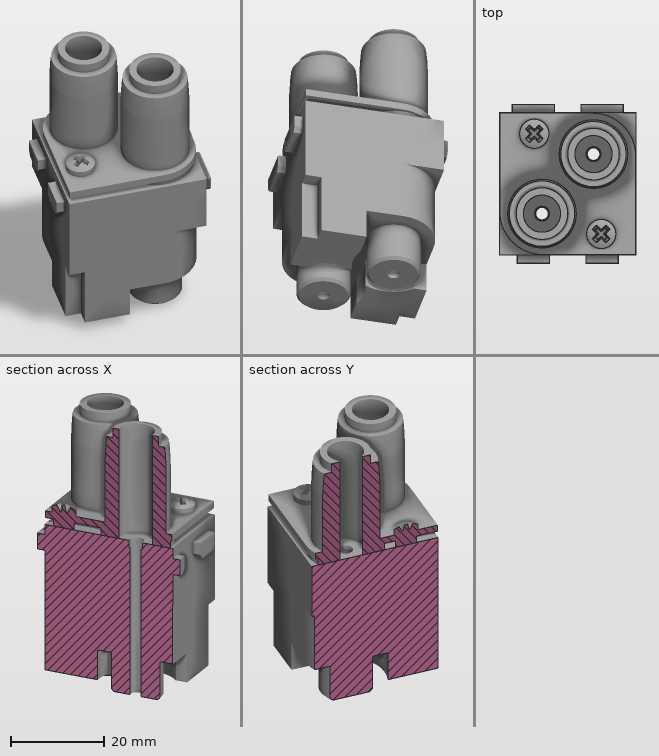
import cadquery as cq
import math

BLOCK_BOTTOM = 2.0
NOTCH_TOP = 8.95
STEP_TOP = 16.1
ROUNDED_TOP = 22.85
TAB_BOTTOM = 29.8
TAB_TOP = 33.6
BLOCK_TOP = 35.9
PLATE_BOTTOM = 37.45
PLATE_TOP = 39.1
SCREW_RIM = 40.45
SCREW_CROWN = 41.45
TAPER_START = 53.5
SLEEVE_TOP = 59.1
TUBE_TOP = 61.3

BLOCK_X = 29.3
BLOCK_Y = 30.5
OVERALL_Y = 34.1
CORNER_RADIUS = 9.15
STEP_X = 3.2
STEP_Y = 3.45
NOTCH_PAST_STUB_X = 6.55
NOTCH_PAST_STUB_Y = 8.2
CLEARANCE_RADIUS = 9.0

TAB_X = 7.35
FRONT_TAB_WIDTH = 7.0
REAR_TAB_WIDTH = 9.1
TAB_CHAMFER_X = 1.0
TAB_CHAMFER_Z = 1.15

CONTACT_X = 5.5
CONTACT_Y = 6.4
STUB_RADIUS = 5.8
STUB_CHAMFER = 0.6
FLANGE_RADIUS = 8.35
SLEEVE_RADIUS = 7.35
TAPER_INSET = 0.35
TUBE_RADIUS = 5.5
BORE_RADIUS = 4.0
HOLE_RADIUS = 1.35
COUNTERBORE_RADIUS = 1.6
COUNTERBORE_DEPTH = 1.6

PLATE_INSET = 0.1
SCREW_X = 7.2
SCREW_Y = 10.7
HEAD_RADIUS = 3.1
BOSS_RADIUS = 2.75
RECESS_TOP_WIDTH = 1.35
RECESS_FLOOR_WIDTH = 0.75
RECESS_TOP_LENGTH = 4.4
RECESS_FLOOR_LENGTH = 2.8
RECESS_FLOOR = 39.55

CONTACTS = [(-CONTACT_X, -CONTACT_Y), (CONTACT_X, CONTACT_Y)]
SCREWS = [(-SCREW_X, SCREW_Y), (SCREW_X, -SCREW_Y)]


def box_between(x_range, y_range, z_range):
    """Box spanning the given (low, high) range on each axis."""
    size = [high - low for low, high in (x_range, y_range, z_range)]
    corner = (x_range[0], y_range[0], z_range[0])
    return cq.Workplane("XY").box(*size, centered=False).translate(corner)


def cylinder(center, radius, bottom, top):
    """Vertical cylinder at an (x, y) center."""
    return cq.Workplane("XY", origin=(*center, bottom)).circle(radius).extrude(top - bottom)


def half_turn(shape):
    """Copy of a shape turned half a turn about the Z axis."""
    return shape.rotate((0, 0, 0), (0, 0, 1), 180)


def block_body():
    """Block with a rounded corner below the shoulder at -X-Y and at +X+Y."""
    x_range = (-BLOCK_X / 2, BLOCK_X / 2)
    y_range = (-BLOCK_Y / 2, BLOCK_Y / 2)
    upper = box_between(x_range, y_range, (ROUNDED_TOP, BLOCK_TOP))
    lower = box_between(x_range, y_range, (BLOCK_BOTTOM, ROUNDED_TOP))
    return upper.union(round_contact_corners(lower))


def round_contact_corners(shape):
    """Round the two vertical edges next to the contacts."""
    for corner in ((-1, -1, 0), (1, 1, 0)):
        outermost = cq.selectors.DirectionMinMaxSelector(cq.Vector(*corner), True)
        shape = shape.edges("|Z").edges(outermost).fillet(CORNER_RADIUS)
    return shape


def stub_notch():
    """Opening around the -X-Y stub: an open corner plus a round clearance."""
    corner = box_between(
        (-BLOCK_X / 2, NOTCH_PAST_STUB_X - CONTACT_X),
        (-BLOCK_Y / 2, NOTCH_PAST_STUB_Y - CONTACT_Y),
        (BLOCK_BOTTOM, NOTCH_TOP),
    )
    return corner.union(cylinder(CONTACTS[0], CLEARANCE_RADIUS, BLOCK_BOTTOM, NOTCH_TOP))


def corner_step():
    """Rectangular step at the lower +X-Y corner."""
    return box_between(
        (BLOCK_X / 2 - STEP_X, BLOCK_X / 2),
        (-BLOCK_Y / 2, -BLOCK_Y / 2 + STEP_Y),
        (BLOCK_BOTTOM, STEP_TOP),
    )


def tab(center_x, width, side):
    """Tab with chamfered lower corners; side is -1 for the -Y face and 1 for the +Y face."""
    half = width / 2
    outline = [
        (center_x - half, TAB_TOP),
        (center_x + half, TAB_TOP),
        (center_x + half, TAB_BOTTOM + TAB_CHAMFER_Z),
        (center_x + half - TAB_CHAMFER_X, TAB_BOTTOM),
        (center_x - half + TAB_CHAMFER_X, TAB_BOTTOM),
        (center_x - half, TAB_BOTTOM + TAB_CHAMFER_Z),
    ]
    return cq.Workplane("XZ").polyline(outline).close().extrude(-side * OVERALL_Y / 2)


def stub(center):
    """Contact stub with a chamfered lower end."""
    return cylinder(center, STUB_RADIUS, 0, NOTCH_TOP).faces("<Z").chamfer(STUB_CHAMFER)


def make_housing():
    """Lower block with tabs, notched legs and the two contact stubs."""
    housing = block_body()
    for cutter in (stub_notch(), corner_step()):
        housing = housing.cut(cutter).cut(half_turn(cutter))
    for center_x in (-TAB_X, TAB_X):
        housing = housing.union(tab(center_x, FRONT_TAB_WIDTH, -1))
        housing = housing.union(tab(center_x, REAR_TAB_WIDTH, 1))
    for center in CONTACTS:
        housing = housing.union(stub(center))
    for center in CONTACTS:
        housing = housing.cut(cylinder(center, HOLE_RADIUS, 0, BLOCK_TOP))
        counterbore_bottom = BLOCK_TOP - COUNTERBORE_DEPTH
        housing = housing.cut(cylinder(center, COUNTERBORE_RADIUS, counterbore_bottom, BLOCK_TOP))
    return housing


def plate():
    """Plate, slightly smaller than the block."""
    half_x = BLOCK_X / 2 - PLATE_INSET
    half_y = BLOCK_Y / 2 - PLATE_INSET
    return round_contact_corners(
        box_between((-half_x, half_x), (-half_y, half_y), (PLATE_BOTTOM, PLATE_TOP))
    )


def sleeve(center):
    """Turned sleeve: flange, barrel, curved taper and the tube end."""
    taper_middle = (SLEEVE_RADIUS - TAPER_INSET / 4, (TAPER_START + SLEEVE_TOP) / 2)
    profile = (
        cq.Workplane("XZ")
        .moveTo(0, BLOCK_TOP)
        .lineTo(FLANGE_RADIUS, BLOCK_TOP)
        .lineTo(FLANGE_RADIUS, PLATE_BOTTOM)
        .lineTo(SLEEVE_RADIUS, PLATE_BOTTOM)
        .lineTo(SLEEVE_RADIUS, TAPER_START)
        .threePointArc(taper_middle, (SLEEVE_RADIUS - TAPER_INSET, SLEEVE_TOP))
        .lineTo(TUBE_RADIUS, SLEEVE_TOP)
        .lineTo(TUBE_RADIUS, TUBE_TOP)
        .lineTo(0, TUBE_TOP)
        .close()
    )
    return profile.revolve(360, (0, 0, 0), (0, 1, 0)).translate((*center, 0))


def cross_recess():
    """Cross-shaped driver recess with sloped walls, on the Z axis."""
    arm = (
        cq.Workplane("XY", origin=(0, 0, RECESS_FLOOR))
        .rect(RECESS_FLOOR_LENGTH, RECESS_FLOOR_WIDTH)
        .workplane(offset=SCREW_CROWN - RECESS_FLOOR)
        .rect(RECESS_TOP_LENGTH, RECESS_TOP_WIDTH)
        .loft(ruled=True)
    )
    first_arm = arm.rotate((0, 0, 0), (0, 0, 1), 45)
    return first_arm.union(arm.rotate((0, 0, 0), (0, 0, 1), -45))


def screw(center):
    """Boss below the plate and a domed screw head above it."""
    dome_height = SCREW_CROWN - SCREW_RIM
    dome_radius = (HEAD_RADIUS**2 + dome_height**2) / (2 * dome_height)
    half_angle = math.asin(HEAD_RADIUS / dome_radius) / 2
    arc_middle = (
        dome_radius * math.sin(half_angle),
        SCREW_CROWN - dome_radius * (1 - math.cos(half_angle)),
    )
    profile = (
        cq.Workplane("XZ")
        .moveTo(0, BLOCK_TOP)
        .lineTo(BOSS_RADIUS, BLOCK_TOP)
        .lineTo(BOSS_RADIUS, PLATE_TOP)
        .lineTo(HEAD_RADIUS, PLATE_TOP)
        .lineTo(HEAD_RADIUS, SCREW_RIM)
        .threePointArc(arc_middle, (0, SCREW_CROWN))
        .close()
    )
    turned = profile.revolve(360, (0, 0, 0), (0, 1, 0))
    return turned.cut(cross_recess()).translate((*center, 0))


def make_cover():
    """Plate with both sleeves and both screws, resting on the housing."""
    cover = plate()
    for center in CONTACTS:
        cover = cover.union(sleeve(center))
    for center in SCREWS:
        cover = cover.union(screw(center))
    for center in CONTACTS:
        cover = cover.cut(cylinder(center, BORE_RADIUS, BLOCK_TOP, TUBE_TOP))
    return cover


housing = make_housing()
cover = make_cover()

result = cq.Compound.makeCompound([housing.val(), cover.val()])